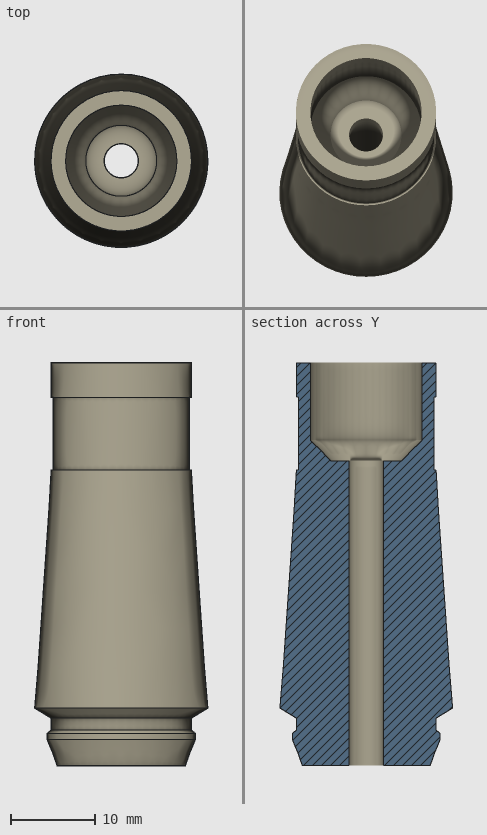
import cadquery as cq

TOTAL_HEIGHT = 47.9
COLLAR_BOTTOM = 43.8
BODY_TOP = 35.15
BODY_BOTTOM = 6.85
GROOVE_TOP = 5.65
GROOVE_BOTTOM = 4.25
RIM_TOP = 3.85
RIM_BOTTOM = 3.1

BODY_RADIUS = 10.3
COLLAR_RADIUS = 8.35
NECK_RADIUS = 8.1
GROOVE_RADIUS = COLLAR_RADIUS
RIM_RADIUS = 8.8
BASE_RADIUS = 7.6

BORE_RADIUS = 6.6
FLOOR_RADIUS = 4.2
HOLE_RADIUS = 2.0
BORE_DEPTH = 9.25
BORE_BOTTOM = TOTAL_HEIGHT - BORE_DEPTH
FLOOR_HEIGHT = BORE_BOTTOM - (BORE_RADIUS - FLOOR_RADIUS)

HALF_SECTION = [
    (BASE_RADIUS, 0),
    (RIM_RADIUS, RIM_BOTTOM),
    (RIM_RADIUS, RIM_TOP),
    (GROOVE_RADIUS, GROOVE_BOTTOM),
    (GROOVE_RADIUS, GROOVE_TOP),
    (BODY_RADIUS, BODY_BOTTOM),
    (COLLAR_RADIUS, BODY_TOP),
    (NECK_RADIUS, BODY_TOP),
    (NECK_RADIUS, COLLAR_BOTTOM),
    (COLLAR_RADIUS, COLLAR_BOTTOM),
    (COLLAR_RADIUS, TOTAL_HEIGHT),
    (BORE_RADIUS, TOTAL_HEIGHT),
    (BORE_RADIUS, BORE_BOTTOM),
    (FLOOR_RADIUS, FLOOR_HEIGHT),
    (HOLE_RADIUS, FLOOR_HEIGHT),
    (HOLE_RADIUS, 0),
]

result = cq.Workplane("YZ").polyline(HALF_SECTION).close().revolve(360, (0, 0), (0, 1))